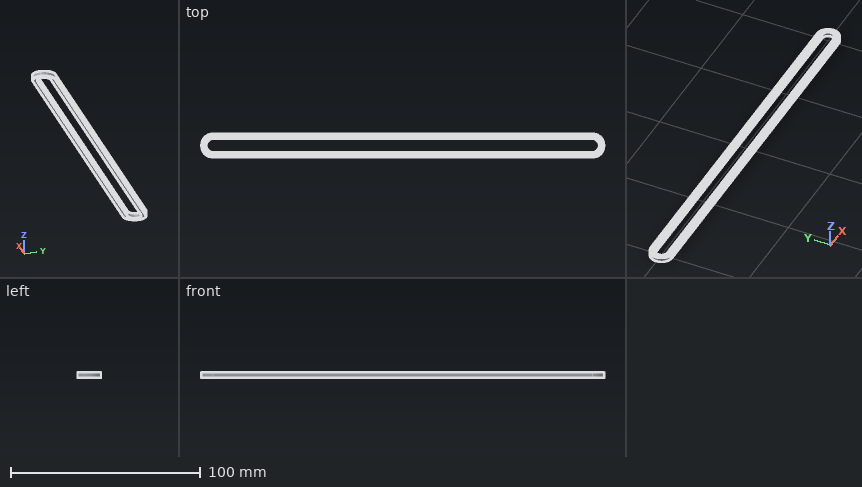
import cadquery as cq

length = 212.5
width = 12.5
height = 3.2

band_width = 2.8
edge_bevel = 0.32

groove_width = 0.57
groove_depth = 0.32
groove_inset = (band_width - groove_width) / 2


def oval_prism(inset, bottom, prism_height):
    """Round-ended oval prism lying a given inset inside the part's outline."""
    plane = cq.Workplane("XY").workplane(offset=bottom)
    return plane.slot2D(length - 2 * inset, width - 2 * inset).extrude(prism_height)


def oval_ring(inset, ring_width, bottom, ring_height):
    """Oval ring of even width whose outer wall lies at the given inset."""
    outer = oval_prism(inset, bottom, ring_height)
    opening = oval_prism(inset + ring_width, bottom, ring_height)
    return outer.cut(opening)


band = oval_ring(0, band_width, 0, height).faces("|Z").edges().chamfer(edge_bevel)

groove = oval_ring(groove_inset, groove_width, height - groove_depth, groove_depth)

result = band.cut(groove)